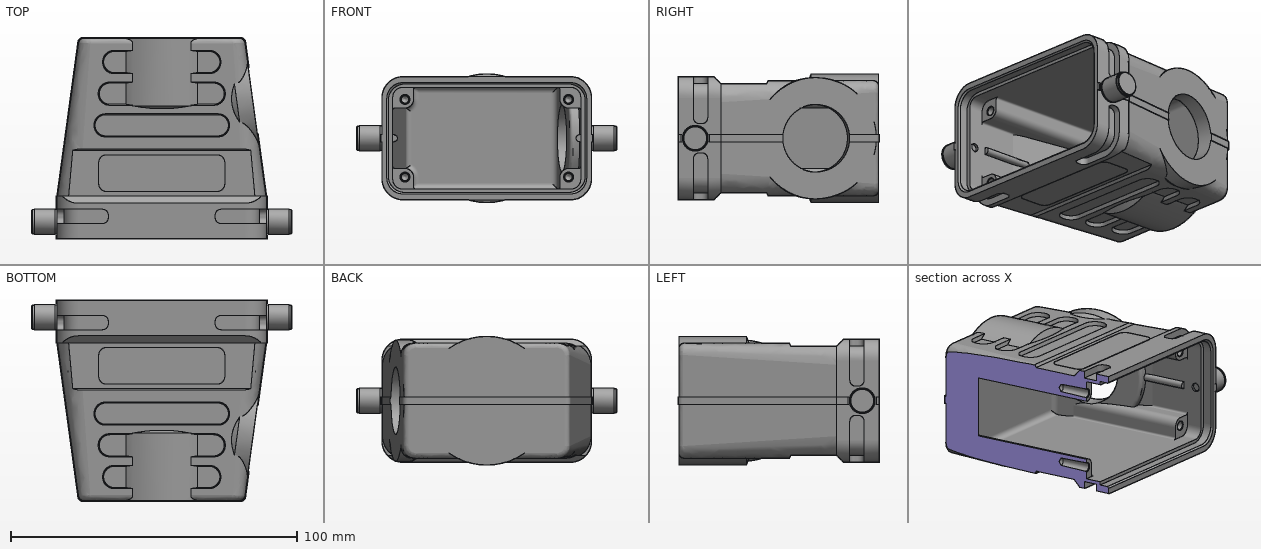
import cadquery as cq
import math


pin_span = 91.0
flange_half_width = 36.7
flange_half_height = 21.6
flange_corner = 7.55
flange_depth = 14.9

body_front_half_width = 36.4
body_back_half_width = 28.85
body_half_height = 20.1
body_front_corner = 7.6
body_back_corner = 4.1
back_y = 70.1
back_fillet = 1.8
label_band_end = 31.5
label_band_half_height = 19.1
label_step_run = 0.55

rib_width = 2.7
rib_proud = 0.3

mouth_half_width = 34.4
mouth_half_height = 18.9
mouth_corner = 5.7
mouth_depth = 3.6
mouth_chamfer = 0.55
cavity_half_width = 32.85
cavity_half_height = 17.7
seat_corner = 3.5
seat_depth = 9.5
floor_y = 60.5
floor_fillet = 2.0
side_wall = 2.3

post_x = 28.6
post_z = 13.6
post_round = 3.0
post_root_fillet = 0.7
screw_end_diameter = 2.55
screw_diameter = 3.0
screw_sink_diameter = 3.5
screw_depth = 10.9
drill_point_angle = 118.0

back_land_radius = 22.52
back_land_start = 46.5
back_land_lead = 1.3
side_land_radius = 21.2
side_land_y = 47.5
side_land_inner_x = 26.3
side_land_lead_radius = 19.6
side_land_lead = 2.7
side_land_round = 1.1
cable_hole_diameter = 23.6

groove_width = 7.4
groove_round = 3.6
groove_floor = 18.75
groove_pitch = 11.06
first_groove_y = 39.7
groove_draft = 15.0
groove_half_lengths = (23.3, 21.8, 20.3)

label_half_length = 22.0
label_start = 16.6
label_end = 29.4
label_corner = 2.7
label_depth = 0.1

slot_start = 5.4
slot_end = 10.4
slot_depth = 2.5
slot_end_round = 2.1
slot_reach_x = 18.7
slot_reach_z = 5.1

pin_diameter = 9.0
pin_tip_diameter = 8.0
pin_tip_length = 1.0
pin_tip_chamfer = 0.3
pin_neck_diameter = 8.7
pin_neck_length = 0.55
pin_clearance_diameter = 10.1
pin_y = 6.0
dimple_diameter = 2.9
dimple_depth = 0.9

key_width = 2.5
key_height = 1.6
key_start = 10.8

side_slope = (body_front_half_width - body_back_half_width) / (back_y - flange_depth)
side_angle = math.atan(side_slope)


def side_x(y):
    """Half width of the tapered body at a given y."""
    return body_front_half_width - side_slope * (y - flange_depth)


def plane_at(y):
    """Plane across the hood at y, drawn in X and Z; negative extrusion goes to +Y."""
    return cq.Workplane("XZ", origin=(0, y, 0))


def rounded_block(half_width, half_height, corner, start, end):
    block = plane_at(start).rect(2 * half_width, 2 * half_height).extrude(start - end)
    return block.edges("|Y").fillet(corner)


def both_sides(solid, plane):
    return solid.union(solid.mirror(plane))


def all_corners(solid):
    return both_sides(both_sides(solid, "YZ"), "XY")


def side_land_plane(x_at_axis):
    """Plane square to the side cable entry, with its normal pointing outwards."""
    outward = (math.cos(side_angle), math.sin(side_angle), 0)
    return cq.Workplane(cq.Plane(origin=(x_at_axis, side_land_y, 0), xDir=(0, 0, 1), normal=outward))


side_land_length = (side_x(side_land_y) - side_land_inner_x) * math.cos(side_angle)


def flange():
    block = rounded_block(flange_half_width, flange_half_height, flange_corner, 0, flange_depth)
    bevel = flange_half_height - label_band_half_height
    wedge = (
        cq.Workplane("YZ")
        .moveTo(flange_depth, label_band_half_height)
        .lineTo(flange_depth, flange_half_height)
        .lineTo(flange_depth - bevel, flange_half_height)
        .close()
        .extrude(flange_half_width, both=True)
    )
    return block.cut(both_sides(wedge, "XY"))


def body():
    front = cq.Sketch().rect(2 * body_front_half_width, 2 * body_half_height)
    front = front.vertices().fillet(body_front_corner)
    back = cq.Sketch().rect(2 * body_back_half_width, 2 * body_half_height)
    back = back.vertices().fillet(body_back_corner)
    length = back_y - flange_depth
    shell = plane_at(flange_depth).placeSketch(front, back.moved(cq.Location((0, 0, -length)))).loft(ruled=True)
    shell = shell.faces(">Y").edges().fillet(back_fillet)
    band = (
        cq.Workplane("YZ")
        .moveTo(flange_depth, label_band_half_height)
        .lineTo(label_band_end - label_step_run, label_band_half_height)
        .lineTo(label_band_end, body_half_height)
        .lineTo(flange_depth, body_half_height)
        .close()
        .extrude(flange_half_width, both=True)
    )
    return shell.cut(both_sides(band, "XY"))


def parting_rib():
    flange_x = flange_half_width + rib_proud
    front_x = body_front_half_width + rib_proud
    back_x = body_back_half_width + rib_proud
    outline = [(flange_x, 0), (flange_x, flange_depth), (front_x, flange_depth), (back_x, back_y + rib_proud)]
    outline += [(-x, y) for x, y in reversed(outline)]
    rib = cq.Workplane("XY").polyline(outline).close().extrude(rib_width / 2, both=True)
    rib = rib.edges("|Z and >Y").fillet(back_fillet)
    pin_clearance = cq.Workplane("YZ").center(pin_y, 0).circle(pin_clearance_diameter / 2)
    return rib.cut(pin_clearance.extrude(flange_x, both=True))


def back_land():
    """Round land along Y with a conical lead-in at its front end."""
    lead_radius = body_half_height - label_step_run
    profile = (
        cq.Workplane("XY")
        .moveTo(0, back_y)
        .lineTo(back_land_radius, back_y)
        .lineTo(back_land_radius, back_land_start)
        .lineTo(lead_radius, back_land_start - back_land_lead)
        .lineTo(0, back_land_start - back_land_lead)
        .close()
    )
    return profile.revolve(360, (0, 0, 0), (0, 1, 0))


def side_land():
    """Round land square to the +X side with a conical lead-in at its inner end."""
    land = side_land_plane(side_land_inner_x).circle(side_land_radius).extrude(side_land_length)
    lead = side_land_plane(side_land_inner_x).circle(side_land_radius)
    lead = lead.workplane(offset=-side_land_lead).circle(side_land_lead_radius).loft()
    return land.union(lead)


def finger_grooves():
    grooves = None
    for row, half_length in enumerate(groove_half_lengths):
        outline = cq.Sketch().rect(2 * half_length, groove_width).vertices().fillet(groove_round)
        groove = (
            cq.Workplane("XY", origin=(0, first_groove_y + row * groove_pitch, groove_floor))
            .placeSketch(outline)
            .extrude(body_half_height - groove_floor, taper=-groove_draft)
        )
        grooves = groove if grooves is None else grooves.union(groove)
    return both_sides(grooves, "XY")


def label_panels():
    panel = (
        cq.Workplane("XY", origin=(0, (label_start + label_end) / 2, label_band_half_height))
        .rect(2 * label_half_length, label_end - label_start)
        .extrude(-label_depth)
        .edges("|Z")
        .fillet(label_corner)
    )
    return both_sides(panel, "XY")


def corner_slots():
    """Grooves that wrap round each flange corner and stop with rounded ends."""
    ring = rounded_block(flange_half_width, flange_half_height, flange_corner, slot_start, slot_end)
    core = rounded_block(
        flange_half_width - slot_depth,
        flange_half_height - slot_depth,
        flange_corner - slot_depth,
        slot_start,
        slot_end,
    )
    width = slot_end - slot_start
    mid_y = (slot_start + slot_end) / 2
    arc_x = flange_half_width - flange_corner
    arc_z = flange_half_height - flange_corner
    length_x = flange_half_width - slot_reach_x
    broad_part = (
        cq.Workplane("XY", origin=(slot_reach_x + length_x / 2, mid_y, arc_z))
        .rect(length_x, width)
        .extrude(flange_corner)
        .edges("|Z and <X")
        .fillet(slot_end_round)
    )
    length_z = flange_half_height - slot_reach_z
    narrow_part = (
        cq.Workplane("YZ", origin=(arc_x, mid_y, slot_reach_z + length_z / 2))
        .rect(width, length_z)
        .extrude(flange_corner)
        .edges("|X and <Z")
        .fillet(slot_end_round)
    )
    return all_corners(ring.cut(core).intersect(broad_part.union(narrow_part)))


def pins():
    radius = pin_diameter / 2
    neck_radius = pin_neck_diameter / 2
    tip_radius = pin_tip_diameter / 2
    profile = (
        cq.Workplane("XY", origin=(0, pin_y, 0))
        .moveTo(mouth_half_width, 0)
        .lineTo(mouth_half_width, neck_radius)
        .lineTo(flange_half_width + pin_neck_length, neck_radius)
        .lineTo(flange_half_width + pin_neck_length, radius)
        .lineTo(pin_span / 2 - pin_tip_length, radius)
        .lineTo(pin_span / 2 - pin_tip_length, tip_radius + pin_tip_chamfer)
        .lineTo(pin_span / 2 - pin_tip_chamfer, tip_radius + pin_tip_chamfer)
        .lineTo(pin_span / 2, tip_radius)
        .lineTo(pin_span / 2, 0)
        .close()
    )
    return both_sides(profile.revolve(360, (0, 0, 0), (1, 0, 0)), "YZ")


def mouth():
    recess = rounded_block(mouth_half_width, mouth_half_height, mouth_corner, 0, mouth_depth)
    rim = cq.Sketch().rect(2 * (mouth_half_width + mouth_chamfer), 2 * (mouth_half_height + mouth_chamfer))
    rim = rim.vertices().fillet(mouth_corner)
    throat = cq.Sketch().rect(2 * mouth_half_width, 2 * mouth_half_height).vertices().fillet(mouth_corner)
    bevel = plane_at(0).placeSketch(rim, throat.moved(cq.Location((0, 0, -mouth_chamfer)))).loft(ruled=True)
    seat = rounded_block(cavity_half_width, cavity_half_height, seat_corner, 0, seat_depth)
    return recess.union(bevel).union(seat)


def screw_posts():
    inner_z = post_z - post_round
    post = (
        cq.Workplane("XZ", origin=(0, seat_depth, 0))
        .moveTo(post_x - post_round, flange_half_height)
        .lineTo(post_x - post_round, post_z)
        .radiusArc((post_x, inner_z), -post_round)
        .lineTo(flange_half_width, inner_z)
        .lineTo(flange_half_width, flange_half_height)
        .close()
        .extrude(seat_depth - floor_y)
    )
    return all_corners(post)


def screw_holes():
    """Slightly tapered holes in the posts, countersunk in front and pointed at the end."""
    radius = screw_diameter / 2
    end_radius = screw_end_diameter / 2
    sink_radius = screw_sink_diameter / 2
    point = end_radius / math.tan(math.radians(drill_point_angle / 2))
    end = seat_depth + screw_depth
    hole = (
        cq.Workplane("XY")
        .moveTo(0, seat_depth)
        .lineTo(sink_radius, seat_depth)
        .lineTo(radius, seat_depth + sink_radius - radius)
        .lineTo(end_radius, end)
        .lineTo(0, end + point)
        .close()
        .revolve(360, (0, 0, 0), (0, 1, 0))
        .translate((post_x, 0, post_z))
    )
    return all_corners(hole)


def side_keys():
    round_x = cavity_half_width - key_height + key_width / 2
    key = (
        plane_at(key_start)
        .moveTo(flange_half_width - side_wall, key_width / 2)
        .lineTo(round_x, key_width / 2)
        .threePointArc((round_x - key_width / 2, 0), (round_x, -key_width / 2))
        .lineTo(flange_half_width - side_wall, -key_width / 2)
        .close()
        .extrude(key_start - floor_y / 2)
    )
    return both_sides(key, "YZ")


def thick_wall():
    """Thick side wall from the axis of the side land back to the floor."""
    floor_x = side_land_inner_x - side_slope * (floor_y - side_land_y)
    outline = [
        (side_land_inner_x, side_land_y),
        (flange_half_width, side_land_y),
        (flange_half_width, floor_y),
        (floor_x, floor_y),
    ]
    return cq.Workplane("XY").polyline(outline).close().extrude(cavity_half_height, both=True)


def is_post_root(edge):
    """True for the concave edges where a post meets the cavity walls."""
    middle = edge.Center()
    on_wall = abs(abs(middle.z) - (post_z - post_round)) < 0.01
    on_broad_wall = abs(abs(middle.z) - cavity_half_height) < 0.01
    return on_wall or on_broad_wall


def cavity():
    """Hollow behind the seat, leaving the posts and the side land standing."""
    bend_y = flange_depth + (body_front_half_width - side_wall - cavity_half_width) / side_slope
    floor_x = side_x(floor_y) - side_wall
    outline = [(cavity_half_width, seat_depth), (cavity_half_width, bend_y), (floor_x, floor_y)]
    outline += [(-x, y) for x, y in reversed(outline)]
    hollow = cq.Workplane("XY").polyline(outline).close().extrude(cavity_half_height, both=True)
    hollow = hollow.cut(screw_posts())
    roots = hollow.edges("|Y").filter(is_post_root)
    hollow = roots.fillet(post_root_fillet)
    hollow = hollow.cut(thick_wall())
    hollow = hollow.faces(">Y").edges().fillet(floor_fillet)
    land = side_land_plane(side_land_inner_x).circle(side_land_radius).extrude(side_land_length)
    land = land.faces("<X").edges().fillet(side_land_round)
    return hollow.cut(land).cut(side_keys())


def pin_dimples():
    radius = dimple_diameter / 2
    dimple = cq.Workplane("YZ", origin=(cavity_half_width, 0, 0)).center(pin_y, 0).circle(radius)
    dimple = dimple.extrude(dimple_depth)
    return both_sides(dimple, "YZ")


def cable_hole():
    depth = 2 * side_land_length
    return side_land_plane(side_land_inner_x).circle(cable_hole_diameter / 2).extrude(depth, both=True)


hood = body().cut(finger_grooves()).cut(label_panels())
hood = hood.union(flange()).union(parting_rib()).union(back_land()).union(side_land())
hood = hood.cut(corner_slots()).union(pins())
hood = hood.cut(mouth()).cut(cavity())
result = hood.cut(cable_hole()).cut(screw_holes()).cut(pin_dimples())